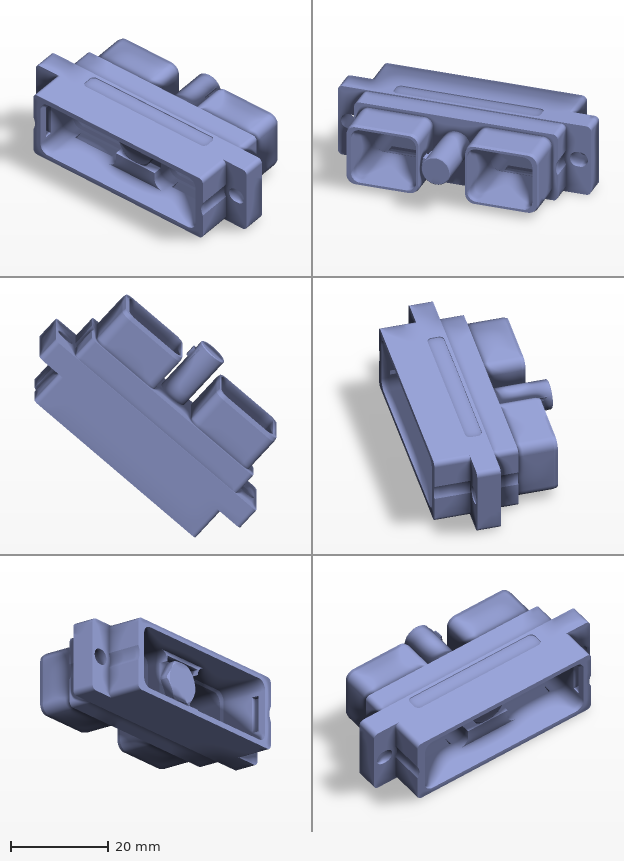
import cadquery as cq
import math

overall_width = 55.4
shell_width = 44.55
shell_height = 15.9
rear_height = 15.3
shell_corner = 1.05

flange_front = 7.7
flange_back = 12.75
rear_face = 17.9

screw_x = 25.05
screw_slot_length = 3.95
screw_slot_height = 3.3
screw_channel_radius = 3.2

tube_inner_x = 5.0
tube_outer_x = 21.0
tube_height = 13.6
tube_corner = 2.0
tube_end = 26.7
tube_chamfer_inset = 0.15
tube_chamfer_length = 0.85

bridge_half_width = 5.1
cavity_half_width = 20.35
cavity_height = 13.5
cavity_corner = 2.0
bridge_front = 5.7
funnel_start = 10.8
funnel_length = 0.7
funnel_inset = 0.35
bore_end_inset_x = 0.5
bore_end_inset_z = 0.65

side_groove_front = 1.8
side_groove_width = 1.65
side_groove_depth = 1.2
side_groove_height = 7.85
floor_groove_front = 8.0
floor_groove_width = 2.1
floor_groove_depth = 0.65
floor_groove_length = 9.75

label_length = 32.15
label_width = 3.55
label_corner = 1.05
label_depth = 0.2

plug_z = 1.5
stem_diameter = 6.3
stem_end = 30.35
stem_chamfer = 0.15
head_sides = 6
head_across_flats = 8.55
head_corner_diameter = 9.55
head_front = 5.75
head_seat = 7.75
head_chamfer_angle = 30.0
head_clearance = 0.15
lug_y = 27.3
lug_size = 2.05
lug_reach = 3.65
lug_tilt = 8.0
lug_base_size = 3.65
lug_base_reach = 2.75

pocket_center_x = (bridge_half_width + cavity_half_width) / 2
pocket_width = cavity_half_width - bridge_half_width
tube_center_x = (tube_inner_x + tube_outer_x) / 2
tube_width = tube_outer_x - tube_inner_x
label_y = (flange_front + flange_back) / 2


def plane_at(y, x=0.0, z=0.0):
    """Workplane across the depth axis; its normal is -Y, so a negative extrusion runs deeper."""
    return cq.Workplane("XZ", origin=(x, y, z))


def block(width, height, corner, y_start, y_end, x=0.0):
    """Block along Y with its four long edges rounded."""
    body = plane_at(y_start, x).rect(width, height).extrude(y_start - y_end)
    return body.edges("|Y").fillet(corner)


def rounded_wire(width, height, corner, y, x):
    """Rounded rectangle outline at one depth."""
    return block(width, height, corner, y, y + 0.55, x).faces("<Y").wires().val()


def tapered_block(start, end, y_start, y_end, x):
    """Rounded block whose (width, height, corner) changes evenly along Y."""
    wires = [rounded_wire(*start, y_start, x), rounded_wire(*end, y_end, x)]
    return cq.Workplane(obj=cq.Solid.makeLoft(wires, True))


def inset(section, dx, dz):
    """Shrink a (width, height, corner) section on every side, keeping its corner radius."""
    width, height, corner = section
    return width - 2 * dx, height - 2 * dz, corner


def make_outer_shell():
    shell = block(shell_width, shell_height, shell_corner, 0, flange_back)
    rear = block(shell_width, rear_height, shell_corner, flange_back, rear_face)
    body = shell.union(rear)
    for side in (-1, 1):
        channel = plane_at(0, side * screw_x).circle(screw_channel_radius).extrude(-rear_face)
        body = body.cut(channel)
    flange = block(overall_width, shell_height, shell_corner, flange_front, flange_back)
    screw_slots = (
        plane_at(flange_front)
        .pushPoints([(-screw_x, 0), (screw_x, 0)])
        .slot2D(screw_slot_length, screw_slot_height)
        .extrude(flange_front - flange_back)
    )
    return body.union(flange.cut(screw_slots))


def make_tube(side):
    """Outside of one tube, with a slim chamfer round its end."""
    x = side * tube_center_x
    section = (tube_width, tube_height, tube_corner)
    end_section = inset(section, tube_chamfer_inset, tube_chamfer_inset)
    chamfer_start = tube_end - tube_chamfer_length
    straight = block(*section, flange_back, chamfer_start, x)
    return straight.union(tapered_block(section, end_section, chamfer_start, tube_end, x))


def make_pocket(side):
    """Pocket beside the bridge, funnelling into the bore of a tube."""
    x = side * pocket_center_x
    section = (pocket_width, cavity_height, cavity_corner)
    throat = inset(section, funnel_inset, funnel_inset)
    bore_end = inset(section, bore_end_inset_x, bore_end_inset_z)
    funnel_end = funnel_start + funnel_length
    pocket = block(*section, 0, funnel_start, x)
    pocket = pocket.union(tapered_block(section, throat, funnel_start, funnel_end, x))
    return pocket.union(tapered_block(throat, bore_end, funnel_end, tube_end, x))


def make_side_groove(side):
    x = side * (cavity_half_width + side_groove_depth / 2)
    y = side_groove_front + side_groove_width / 2
    return cq.Workplane(origin=(x, y, 0)).box(side_groove_depth, side_groove_width, side_groove_height)


def make_floor_groove(side):
    """Triangular groove, deepest at its front edge and rising towards the rear."""
    floor_z = -cavity_height / 2
    profile = [
        (floor_groove_front, floor_z),
        (floor_groove_front, floor_z - floor_groove_depth),
        (floor_groove_front + floor_groove_width, floor_z),
    ]
    groove = cq.Workplane("YZ").polyline(profile).close().extrude(floor_groove_length / 2, both=True)
    return groove.translate((side * pocket_center_x, 0, 0))


def make_head_recess():
    """Slot across the bridge that takes the plug head."""
    height = head_across_flats + 2 * head_clearance
    return plane_at(bridge_front, z=plug_z).rect(2 * bridge_half_width, height).extrude(bridge_front - head_seat)


def make_label_recess():
    label = cq.Workplane(origin=(0, label_y, shell_height / 2)).rect(label_length, label_width)
    return label.extrude(-label_depth).edges("|Z").fillet(label_corner)


def make_housing():
    body = make_outer_shell()
    for side in (-1, 1):
        body = body.union(make_tube(side))
    body = body.cut(block(2 * cavity_half_width, cavity_height, cavity_corner, 0, bridge_front))
    for side in (-1, 1):
        body = body.cut(make_pocket(side))
        body = body.cut(make_side_groove(side))
        body = body.cut(make_floor_groove(side))
    body = body.cut(make_head_recess())
    stem_hole = plane_at(head_seat, z=plug_z).circle(stem_diameter / 2).extrude(head_seat - rear_face)
    return body.cut(stem_hole).cut(make_label_recess())


def make_head():
    """Hexagonal head with its front corners turned down to the flats."""
    length = head_seat - head_front
    across_corners = head_across_flats / math.cos(math.pi / head_sides)
    hexagon = plane_at(head_seat, z=plug_z).polygon(head_sides, across_corners).extrude(length)
    chamfer_width = (head_corner_diameter - head_across_flats) / 2
    chamfer_length = chamfer_width * math.tan(math.radians(head_chamfer_angle))
    turned = plane_at(head_seat, z=plug_z).circle(head_corner_diameter / 2).extrude(length)
    turned = turned.faces("<Y").chamfer(chamfer_length, chamfer_width)
    return hexagon.intersect(turned)


def make_lug():
    """Square lug on the +X side, tilted slightly upwards, on a square base."""
    axis = (0, lug_y, plug_z)
    base = cq.Workplane("YZ", origin=axis).rect(lug_base_size, lug_base_size).extrude(lug_base_reach)
    lug = cq.Workplane("YZ", origin=axis).rect(lug_size, lug_size).extrude(lug_reach)
    return base.union(lug.rotate(axis, (0, lug_y + 0.55, plug_z), -lug_tilt))


def make_plug():
    stem = plane_at(head_seat, z=plug_z).circle(stem_diameter / 2).extrude(head_seat - stem_end)
    stem = stem.faces(">Y").chamfer(stem_chamfer)
    return stem.union(make_lug()).union(make_head())


housing = make_housing()
plug = make_plug()
result = cq.Compound.makeCompound([housing.val(), plug.val()])